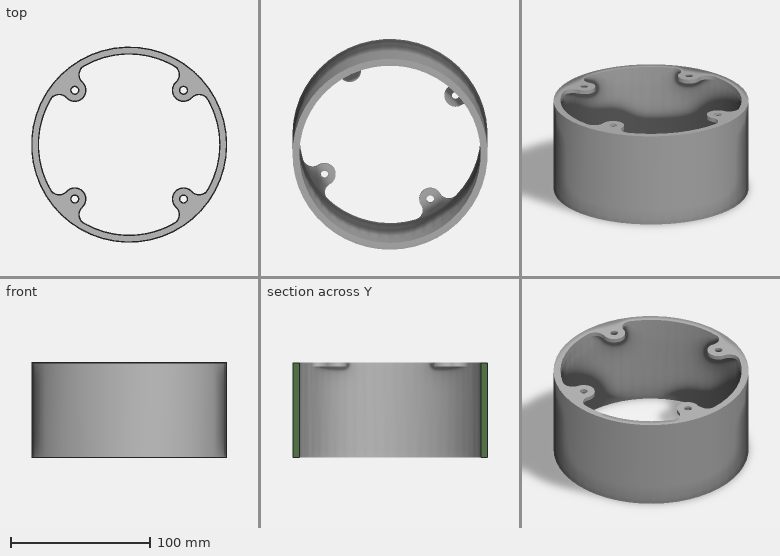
import cadquery as cq
import math

outer_diameter = 140.0
inner_diameter = 130.0
height = 68.0

lug_count = 4
first_lug_angle = 45.0
lug_circle_radius = 55.2
lug_radius = 8.0
lug_thickness = 3.0
blend_radius = 7.3
hole_diameter = 5.5


def polar(radius, angle):
    return (radius * math.cos(angle), radius * math.sin(angle))


def mirrored(point):
    return (point[0], -point[1])


def make_lug():
    """Lug on the +X axis, blended tangentially into the ring's inner wall."""
    inner_radius = inner_diameter / 2
    wall_middle_radius = (inner_diameter + outer_diameter) / 4

    blend_orbit = inner_radius - blend_radius
    center_gap = lug_radius + blend_radius
    blend_angle = math.acos(
        (blend_orbit**2 + lug_circle_radius**2 - center_gap**2)
        / (2 * blend_orbit * lug_circle_radius)
    )
    blend_x, blend_y = polar(blend_orbit, blend_angle)
    to_lug = math.atan2(-blend_y, lug_circle_radius - blend_x)
    mid_angle = (blend_angle + to_lug) / 2

    wall_tangent = polar(inner_radius, blend_angle)
    mid_x, mid_y = polar(blend_radius, mid_angle)
    blend_middle = (blend_x + mid_x, blend_y + mid_y)
    lug_x, lug_y = polar(blend_radius, to_lug)
    lug_tangent = (blend_x + lug_x, blend_y + lug_y)
    lug_tip = (lug_circle_radius - lug_radius, 0)
    wall_start = polar(wall_middle_radius, blend_angle)

    return (
        cq.Workplane("XY", origin=(0, 0, height - lug_thickness))
        .moveTo(*wall_start)
        .lineTo(*wall_tangent)
        .threePointArc(blend_middle, lug_tangent)
        .threePointArc(lug_tip, mirrored(lug_tangent))
        .threePointArc(mirrored(blend_middle), mirrored(wall_tangent))
        .lineTo(*mirrored(wall_start))
        .threePointArc((wall_middle_radius, 0), wall_start)
        .close()
        .extrude(lug_thickness)
    )


result = (
    cq.Workplane("XY")
    .circle(outer_diameter / 2)
    .circle(inner_diameter / 2)
    .extrude(height)
)

lug = make_lug()
for index in range(lug_count):
    angle = first_lug_angle + index * 360 / lug_count
    result = result.union(lug.rotate((0, 0, 0), (0, 0, 1), angle))

holes = (
    cq.Workplane("XY", origin=(0, 0, height - lug_thickness))
    .polarArray(lug_circle_radius, first_lug_angle, 360, lug_count)
    .circle(hole_diameter / 2)
    .extrude(lug_thickness)
)
result = result.cut(holes)